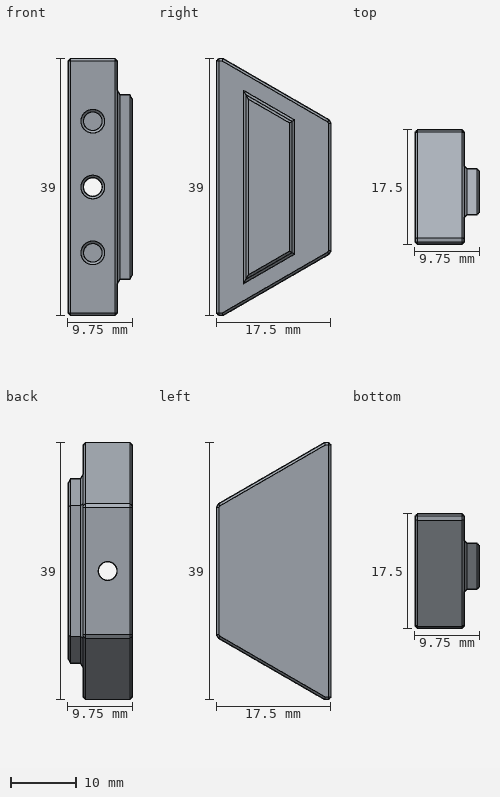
import cadquery as cq
import math

length = 39.0
depth = 17.45
thickness = 7.5
total_thickness = 9.75
slope = math.tan(math.radians(30))
end_flat = 1.0
edge_chamfer = 0.4

key_length = 28.0
key_width = 7.02
key_center_y = 8.0
key_height = total_thickness - thickness

hole_diameter = 2.8
hole_chamfer = 0.4
hole_pitch = 10.0
blind_depth = 6.0
hole_x = thickness / 2


def trapezoid(x, front_y, back_y, half_front, flat=0.0):
    """Outline in the plane at x, narrowing towards +Y after an optional level strip."""
    slope_start = front_y + flat
    half_back = half_front - (back_y - slope_start) * slope
    upper = [(front_y, half_front), (back_y, half_back)]
    if flat:
        upper.insert(1, (slope_start, half_front))
    lower = [(y, -z) for y, z in reversed(upper)]
    return cq.Workplane("YZ", origin=(x, 0, 0)).polyline(upper + lower).close()


def make_body():
    blank = trapezoid(0, 0, depth, length / 2, end_flat).extrude(thickness)
    rims = blank.faces("<X or >X").edges().vals()
    corners = blank.edges("|X").edges("<Y or >Y").vals()
    return blank.newObject(rims + corners).chamfer(edge_chamfer)


def make_key():
    front_y = key_center_y - key_width / 2
    back_y = key_center_y + key_width / 2
    block = trapezoid(thickness, front_y, back_y, key_length / 2).extrude(key_height)
    block = block.faces(">X").edges().chamfer(edge_chamfer)
    foot_half_length = key_length / 2 + edge_chamfer * (slope + math.hypot(1, slope))
    foot = trapezoid(thickness, front_y - edge_chamfer, back_y + edge_chamfer, foot_half_length)
    return block.union(foot.extrude(edge_chamfer, taper=45))


def make_hole(z, hole_depth):
    """Cutter entering the front face along +Y, with a 45 degree countersunk mouth."""
    radius = hole_diameter / 2
    profile = [
        (0, 0),
        (radius + hole_chamfer, 0),
        (radius, hole_chamfer),
        (radius, hole_depth),
        (0, hole_depth),
    ]
    cutter = cq.Workplane("XY").polyline(profile).close().revolve(360, (0, 0, 0), (0, 1, 0))
    return cutter.translate((hole_x, 0, z))


result = make_body().union(make_key())
result = result.cut(make_hole(0, depth))
for side in (-1, 1):
    result = result.cut(make_hole(side * hole_pitch, blind_depth))